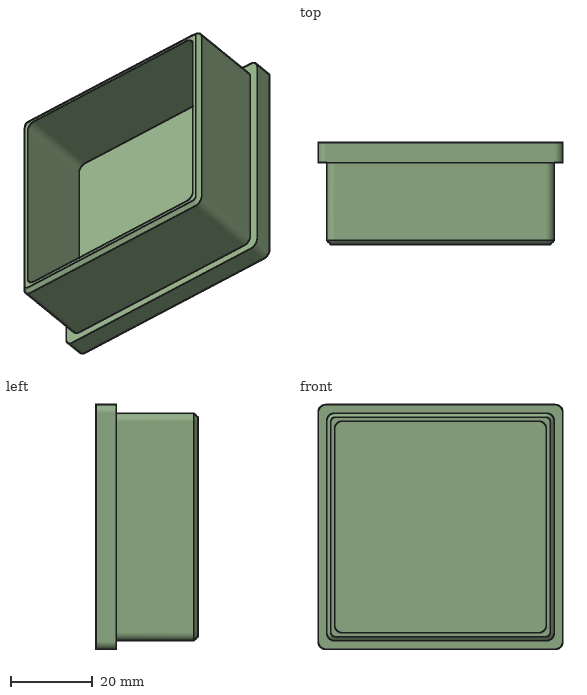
import cadquery as cq

corner_radius = 2.0

flange_width = 60.0
flange_thickness = 5.0

total_depth = 25.0
insert_width = 55.75
rim_chamfer = 1.0

cavity_width = 51.9

front_y = -total_depth / 2
back_y = total_depth / 2
flange_front_y = back_y - flange_thickness


def rounded_block(width, start_y, end_y):
    """Square block in X and Z with rounded long edges, spanning start_y to end_y."""
    length = end_y - start_y
    block = cq.Workplane("XY").box(width, length, width).edges("|Y").fillet(corner_radius)
    return block.translate((0, start_y + length / 2, 0))


flange = rounded_block(flange_width, flange_front_y, back_y)

insert = rounded_block(insert_width, front_y, back_y)
insert = insert.faces("<Y").chamfer(rim_chamfer)

cavity = rounded_block(cavity_width, front_y, flange_front_y)

result = flange.union(insert).cut(cavity)